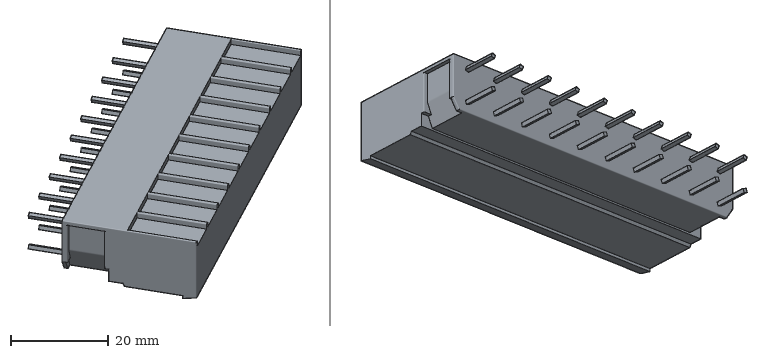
import cadquery as cq

LENGTH_X = 37.0
HEIGHT = 14.29
POSITIONS = 10
PITCH = 7.62
WIDTH = POSITIONS * PITCH

PIN_SIDE = 0.9
PIN_ROLL = 20.0
PIN_LENGTH = 8.1
PIN_EMBED = 1.0
UPPER_ROW_DROP = 2.5
LOWER_ROW_DROP = UPPER_ROW_DROP + PITCH

BODY_X = PIN_LENGTH
NOSE_END_X = 18.15
STEP_X = 21.2
STEP_RUN = 0.4
FOOT_X = 34.0
NOSE_DEPTH = 12.5
SHOULDER_DEPTH = 12.95
BASE_DEPTH = 13.6

RECESS_X = 22.1
RECESS_DEPTH = 1.2
RIB_WIDTH = 0.9
END_RIB_WIDTH = 0.65

POCKET_X = (9.4, 17.25)
POCKET_TOP = 0.9
POCKET_DEPTH = 0.9
SLOPE_TOP = 7.5
SLOPE_DEPTH_AT_BOTTOM = 3.0
RELIEF_START_X = 9.0
CHAMFER_TOP = 10.0
CHAMFER_WIDTH = 1.6

TOLERANCE = 0.01
EDGE_RADIUS = 0.2
SLOPE_BLEND_RADIUS = 1.0


def extrude_along_x(points, x_start, x_end):
    """Extrude a (y, z) outline from x_start to x_end."""
    return cq.Workplane("YZ", origin=(x_start, 0, 0)).polyline(points).close().extrude(x_end - x_start)


def make_housing():
    outline = [
        (BODY_X, HEIGHT),
        (LENGTH_X, HEIGHT),
        (LENGTH_X, HEIGHT - BASE_DEPTH),
        (FOOT_X, 0),
        (FOOT_X, HEIGHT - BASE_DEPTH),
        (STEP_X + STEP_RUN, HEIGHT - BASE_DEPTH),
        (STEP_X, HEIGHT - SHOULDER_DEPTH),
        (NOSE_END_X, HEIGHT - SHOULDER_DEPTH),
        (NOSE_END_X, HEIGHT - NOSE_DEPTH),
        (BODY_X, HEIGHT - NOSE_DEPTH),
    ]
    return cq.Workplane("XZ").polyline(outline).close().extrude(WIDTH / 2, both=True)


def position_y(index):
    """Y centre of one connector position."""
    return (index - (POSITIONS - 1) / 2) * PITCH


def make_recesses():
    """Recesses one pitch apart; the outer two are trimmed to leave the wider end ribs."""
    limit_y = WIDTH / 2 - END_RIB_WIDTH
    half_recess = (PITCH - RIB_WIDTH) / 2
    recesses = cq.Workplane("XY")
    for index in range(POSITIONS):
        y_start = max(position_y(index) - half_recess, -limit_y)
        y_end = min(position_y(index) + half_recess, limit_y)
        recess = cq.Workplane("XY").box(LENGTH_X - RECESS_X, y_end - y_start, RECESS_DEPTH, centered=False)
        recesses = recesses.add(recess.translate((RECESS_X, y_start, HEIGHT - RECESS_DEPTH)))
    return recesses.combine()


def make_end_cut():
    """Pocket and chamfer removed from the -Y end of the nose."""
    end_y = -WIDTH / 2
    nose_z = HEIGHT - NOSE_DEPTH
    slope_z = HEIGHT - SLOPE_TOP
    chamfer_z = HEIGHT - CHAMFER_TOP
    floor_y = end_y + POCKET_DEPTH
    deep_y = end_y + SLOPE_DEPTH_AT_BOTTOM
    fraction = (slope_z - chamfer_z) / (slope_z - nose_z)
    relief_y = floor_y + fraction * (deep_y - floor_y)

    pocket = extrude_along_x(
        [
            (end_y, HEIGHT - POCKET_TOP),
            (floor_y, HEIGHT - POCKET_TOP),
            (floor_y, slope_z),
            (deep_y, nose_z),
            (end_y, nose_z),
        ],
        *POCKET_X,
    )
    relief = extrude_along_x(
        [(end_y, chamfer_z), (relief_y, chamfer_z), (deep_y, nose_z), (end_y, nose_z)],
        RELIEF_START_X,
        NOSE_END_X,
    )
    chamfer = extrude_along_x(
        [(end_y, chamfer_z), (end_y + CHAMFER_WIDTH, nose_z), (end_y, nose_z)],
        BODY_X,
        NOSE_END_X,
    )
    return pocket.union(relief).union(chamfer)


def round_edges(body):
    """Round the pin-side face, the long top edges, the end corners and the pocket mouths."""
    half = WIDTH / 2
    slope_z = HEIGHT - SLOPE_TOP

    front_edges = body.faces("<X").edges().vals()
    top_edges = body.faces(">Z").edges("|X").vals()
    upright_edges = [
        edge
        for edge in body.edges("|Z").vals()
        if abs(abs(edge.Center().y) - half) < TOLERANCE
        and min(abs(edge.Center().x - x) for x in (*POCKET_X, LENGTH_X)) < TOLERANCE
    ]
    rounded = body.newObject(front_edges + top_edges + upright_edges).fillet(EDGE_RADIUS)

    blend_edges = [edge for edge in rounded.edges("|X").vals() if abs(edge.Center().z - slope_z) < TOLERANCE]
    return rounded.newObject(blend_edges).fillet(SLOPE_BLEND_RADIUS)


def make_pin_row(drop, roll):
    centers = [(position_y(i), HEIGHT - drop) for i in range(POSITIONS)]
    profile = cq.Sketch().rect(PIN_SIDE, PIN_SIDE, angle=roll)
    return cq.Workplane("YZ").pushPoints(centers).placeSketch(profile).extrude(PIN_LENGTH + PIN_EMBED)


end_cut = make_end_cut()
housing = make_housing().cut(make_recesses())
housing = housing.cut(end_cut).cut(end_cut.mirror("XZ"))
housing = round_edges(housing)
upper_pins = make_pin_row(UPPER_ROW_DROP, PIN_ROLL)
lower_pins = make_pin_row(LOWER_ROW_DROP, -PIN_ROLL)
result = housing.union(upper_pins).union(lower_pins)